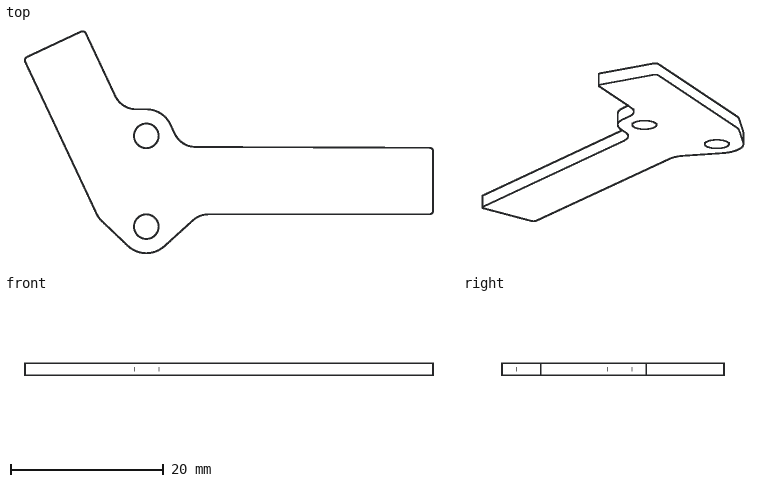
import math

import cadquery as cq

thickness = 1.6
hole_diameter = 3.2
hole_pitch = 11.9
boss_radius = 3.5
blend_radius = 3.0
tip_radius = 0.5

straight_arm_reach = 37.6
straight_arm_bottom = 1.6
straight_arm_tip_width = 8.75
straight_arm_root_width = 8.87

lean_angle = math.radians(25.15)
raised_arm_reach = 26.79
raised_arm_outer_offset = 5.2
raised_arm_width = 8.8

right_flank_angle = math.radians(42.2)
left_flank_angle = math.radians(43.6)

lower_hole = (0, 0)
upper_hole = (0, hole_pitch)


def tangent_line(centre, radius, normal_angle):
    """Line touching a circle, as (point, direction); the normal points to the touching side."""
    normal = (math.cos(normal_angle), math.sin(normal_angle))
    point = (centre[0] + radius * normal[0], centre[1] + radius * normal[1])
    return point, (-normal[1], normal[0])


def line_through(start, end):
    return start, (end[0] - start[0], end[1] - start[1])


def crossing(first, second):
    """Point where two lines meet."""
    (ax, ay), (ux, uy) = first
    (bx, by), (vx, vy) = second
    along = ((bx - ax) * vy - (by - ay) * vx) / (ux * vy - uy * vx)
    return ax + along * ux, ay + along * uy


def outline_corners():
    """Sharp corners of the plate, counter-clockwise, each with its rounding radius."""
    right, up, left, down = (math.radians(a) for a in (0, 90, 180, 270))
    straight_arm_tip = tangent_line(lower_hole, straight_arm_reach, right)
    straight_arm_lower_edge = tangent_line(lower_hole, straight_arm_bottom, up)
    straight_arm_upper_edge = line_through(
        (straight_arm_reach, straight_arm_bottom + straight_arm_tip_width),
        (boss_radius, straight_arm_bottom + straight_arm_root_width),
    )

    upper_boss_side = tangent_line(upper_hole, boss_radius, lean_angle)
    upper_boss_top = tangent_line(upper_hole, boss_radius, up)

    raised_arm_inner_offset = raised_arm_width - raised_arm_outer_offset
    raised_arm_inner_edge = tangent_line(lower_hole, raised_arm_inner_offset, lean_angle)
    raised_arm_tip = tangent_line(lower_hole, raised_arm_reach, up + lean_angle)
    raised_arm_outer_edge = tangent_line(lower_hole, raised_arm_outer_offset, left + lean_angle)

    left_flank = tangent_line(lower_hole, boss_radius, down - left_flank_angle)
    right_flank = tangent_line(lower_hole, boss_radius, down + right_flank_angle)

    edges = [
        (straight_arm_lower_edge, tip_radius),
        (straight_arm_tip, tip_radius),
        (straight_arm_upper_edge, blend_radius),
        (upper_boss_side, boss_radius),
        (upper_boss_top, blend_radius),
        (raised_arm_inner_edge, tip_radius),
        (raised_arm_tip, tip_radius),
        (raised_arm_outer_edge, blend_radius),
        (left_flank, boss_radius),
        (right_flank, blend_radius),
    ]
    following_edges = edges[1:] + edges[:1]
    return [
        (crossing(edge, following), radius)
        for (edge, radius), (following, _) in zip(edges, following_edges)
    ]


def make_plate():
    corners = outline_corners()
    plate = cq.Workplane("XY").polyline([point for point, _ in corners]).close().extrude(thickness)
    for (x, y), radius in corners:
        nearest_edge = cq.selectors.NearestToPointSelector((x, y, thickness / 2))
        plate = plate.edges("|Z").edges(nearest_edge).fillet(radius)
    return plate


def cut_holes(plate):
    return (
        plate.faces(">Z")
        .workplane(origin=(0, 0, thickness))
        .pushPoints([lower_hole, upper_hole])
        .hole(hole_diameter)
    )


result = cut_holes(make_plate())